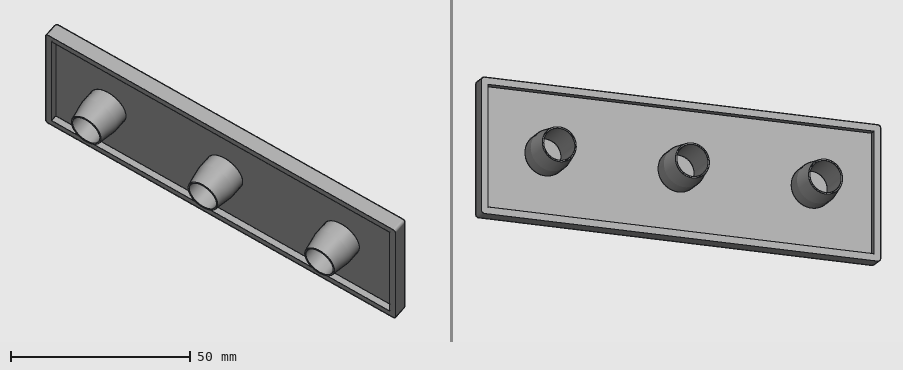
import cadquery as cq

length = 120.0
height = length / 3
overall_depth = 13.5
plate_thickness = 5.0
corner_radius = 1.0
back_edge_radius = 0.8

rim_width = 2.0
recess_depth = 2.0

peg_count = 3
peg_spacing = length / peg_count
peg_diameter = 12.2
peg_tip_diameter = 10.2
bore_diameter = 9.4
taper_length = 6.0

floor_y = recess_depth
tip_y = plate_thickness - overall_depth
taper_start_y = tip_y + taper_length


def make_plate():
    """Rounded plate with a softened back edge and a rectangular recess."""
    plate = (
        cq.Workplane("XY")
        .box(length, plate_thickness, height)
        .translate((0, plate_thickness / 2, 0))
        .edges("|Y")
        .fillet(corner_radius)
        .faces(">Y")
        .edges()
        .fillet(back_edge_radius)
    )
    recess = (
        cq.Workplane("XY")
        .box(length - 2 * rim_width, recess_depth, height - 2 * rim_width)
        .translate((0, recess_depth / 2, 0))
    )
    return plate.cut(recess)


def make_peg(center_x):
    """Tube with a straight base and a tapered tip, revolved about Y."""
    bore_radius = bore_diameter / 2
    peg_radius = peg_diameter / 2
    tip_radius = peg_tip_diameter / 2
    return (
        cq.Workplane("YZ")
        .moveTo(floor_y, bore_radius)
        .lineTo(floor_y, peg_radius)
        .lineTo(taper_start_y, peg_radius)
        .lineTo(tip_y, tip_radius)
        .lineTo(tip_y, bore_radius)
        .close()
        .revolve(360, (0, 0, 0), (1, 0, 0))
        .translate((center_x, 0, 0))
    )


result = make_plate()
for index in range(peg_count):
    peg_x = (index - (peg_count - 1) / 2) * peg_spacing
    result = result.union(make_peg(peg_x))